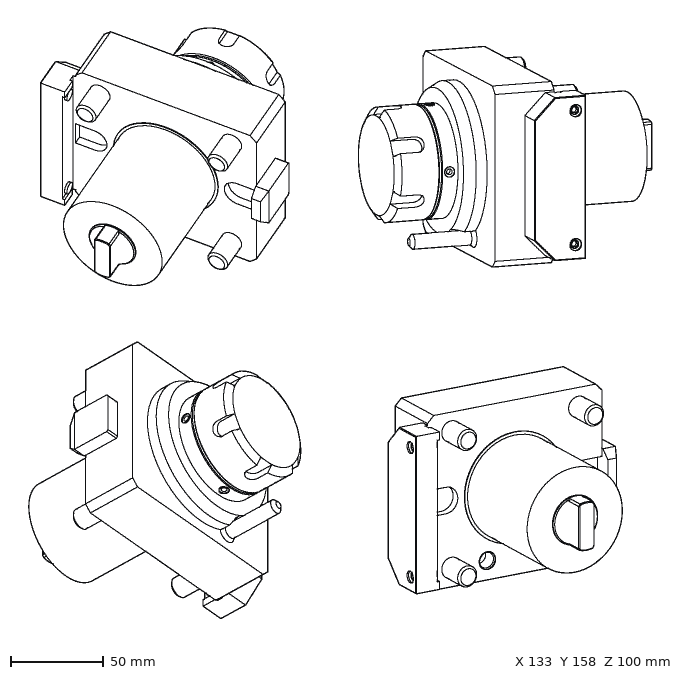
import cadquery as cq
import math


plate_width = 110.0
plate_height = 100.0
plate_depth = 34.1
plate_corner = 4.0
plate_side = plate_width / 2

shank_radius = 30.0
shank_end = -63.4
rim_radius = 31.8
rim_depth = 0.5
boss_radius = 14.0
boss_depth = 1.3
boss_chamfer = 0.6
tang_thickness = 9.8
tang_radius = 13.9
tang_end = -76.0
tang_edge = 0.5
tang_corner = 1.0
tang_root_fillet = 1.0

nose_radius = 43.0
nose_cone_start = 40.5
nose_cone_end = 46.6
nose_cone_radius = 39.8
collar_radius = 31.5
collar_end = 56.0
collar_edge = 0.5
groove_radius = 25.3
nut_start = 57.0
nut_edge = 0.6
nut_end = 82.0
nut_chamfer = 3.0
nut_tip_radius = 27.4

wrench_slot_width = 8.9
wrench_slot_floor = 27.2
short_slot_end = 67.8
long_slot_end = 64.7
short_slot_angles = (-90, -30, 30, 90)
long_slot_angles = (150, 210)

collar_screw_y = 51.4
collar_screw_radius = 2.8
collar_screw_recess = 0.6
collar_socket_radius = 1.6
collar_socket_depth = 3.2

bolt_x = 40.0
bolt_z = 39.0
bolt_radius = 6.0
bolt_length = 18.0
bolt_chamfer = 1.3

hole_x = -17.0
hole_radius = 4.5
hole_depth = 9.5
hole_chamfer = 0.6
pin_x = -21.8
pin_radius = 4.1
pin_end = 71.5
pin_chamfer = 2.0
pin_flare_radius = 5.5
pin_flare_length = 2.4
pin_clearance_radius = 5.0

keyway_depth = 4.9
left_keyway_width = 15.2
left_keyway_tip = 35.9
right_keyway_width = 16.0
right_keyway_tip = 35.4

left_block_outer = -70.0
left_block_height = 90.1
left_block_back = 16.9
left_block_front = -12.8
left_block_corner = 11.9
left_block_edge = 0.5
relief_depth = 1.5
relief_height = 81.0
relief_step = 3.6
block_screw_y = -7.0
block_screw_z = 37.0
block_screw_radius = 3.3
block_screw_recess = 1.9
block_screw_bevel = 1.0
block_socket_size = 3.8
block_socket_depth = 2.4

right_block_outer = 63.0
right_block_height = 25.3
right_block_back = 23.2
right_block_front = -6.2
right_block_bevel = 5.2
right_block_bevel_z = 4.7
right_block_bevel_x = 2.4
right_block_back_chamfer = 1.0


def box(x0, x1, y0, y1, z0, z1):
    """Box between two opposite corners."""
    return cq.Workplane("XY").box(x1 - x0, y1 - y0, z1 - z0, centered=False).translate((x0, y0, z0))


def rod(radius, y0, y1, x=0, z=0):
    """Cylinder along Y from y0 to the higher y1."""
    return cq.Workplane("XZ", origin=(x, y0, z)).circle(radius).extrude(y0 - y1)


def make_plate():
    plate = box(-plate_side, plate_side, 0, plate_depth, -plate_height / 2, plate_height / 2)
    return plate.edges("|Y").chamfer(plate_corner)


def make_turned_body():
    """Shank, nose, collar and nut as one turned profile."""
    profile = [
        (0, shank_end - boss_depth),
        (boss_radius - boss_chamfer, shank_end - boss_depth),
        (boss_radius, shank_end - boss_depth + boss_chamfer),
        (boss_radius, shank_end),
        (shank_radius, shank_end),
        (shank_radius, -rim_depth),
        (rim_radius, -rim_depth),
        (rim_radius, plate_depth / 2),
        (nose_radius, plate_depth / 2),
        (nose_radius, nose_cone_start),
        (nose_cone_radius, nose_cone_end),
        (collar_radius, nose_cone_end),
        (collar_radius, collar_end - collar_edge),
        (collar_radius - collar_edge, collar_end),
        (groove_radius, collar_end),
        (groove_radius, nut_start),
        (collar_radius - nut_edge, nut_start),
        (collar_radius, nut_start + nut_edge),
        (collar_radius, nut_end - nut_chamfer),
        (nut_tip_radius, nut_end),
        (0, nut_end),
    ]
    return cq.Workplane("XY").polyline(profile).close().revolve(360, (0, 0, 0), (0, 1, 0))


def make_tang():
    """Flat drive tang with rounded ends, bevelled corners, a bevelled tip and filleted roots."""
    half = tang_thickness / 2
    blade = box(-half, half, tang_end, shank_end, -tang_radius, tang_radius)
    blade = blade.intersect(rod(tang_radius, tang_end, shank_end))
    blade = blade.edges("|Y").chamfer(tang_corner).faces("<Y").edges().chamfer(tang_edge)

    root_y = shank_end - boss_depth
    arc_offset = tang_root_fillet * (1 - math.sqrt(0.5))
    root = (
        cq.Workplane("XY", origin=(0, 0, -tang_radius))
        .moveTo(0, root_y)
        .lineTo(half + tang_root_fillet, root_y)
        .threePointArc((half + arc_offset, root_y - arc_offset), (half, root_y - tang_root_fillet))
        .lineTo(0, root_y - tang_root_fillet)
        .close()
        .extrude(2 * tang_radius)
    )
    root = root.union(root.mirror("YZ"))
    envelope = rod(boss_radius - boss_chamfer, root_y - tang_root_fillet, root_y)
    return blade.union(root.intersect(envelope))


def make_wrench_slot(angle, slot_end):
    """Slot from the nut tip to a round end at slot_end, placed at an angle from +X towards +Z."""
    half = wrench_slot_width / 2
    arc_y = slot_end + half
    slot = (
        cq.Workplane("XY", origin=(0, 0, wrench_slot_floor))
        .moveTo(-half, nut_end)
        .lineTo(-half, arc_y)
        .threePointArc((0, slot_end), (half, arc_y))
        .lineTo(half, nut_end)
        .close()
        .extrude(collar_radius)
    )
    return slot.rotate((0, 0, 0), (0, 1, 0), 90 - angle)


def make_collar_screw(angle):
    """Shallow recess with a socket at its centre, cut radially into the collar."""
    floor = collar_radius - collar_screw_recess
    recess = (
        cq.Workplane("XY", origin=(0, collar_screw_y, floor))
        .circle(collar_screw_radius)
        .extrude(2 * collar_screw_recess)
    )
    socket = (
        cq.Workplane("XY", origin=(0, collar_screw_y, floor - collar_socket_depth))
        .circle(collar_socket_radius)
        .extrude(collar_socket_depth)
    )
    return recess.union(socket).rotate((0, 0, 0), (0, 1, 0), angle)


def make_bolt(x, z):
    return rod(bolt_radius, -bolt_length, plate_depth / 2, x, z).faces("<Y").chamfer(bolt_chamfer)


def make_coolant_hole():
    hole = rod(hole_radius, 0, hole_depth, hole_x, -bolt_z)
    rim = rod(hole_radius + hole_chamfer, 0, 2 * hole_chamfer, hole_x, -bolt_z)
    return hole.union(rim.faces(">Y").chamfer(hole_chamfer))


def make_pin():
    """Pin with a bevelled tip and a conical flare where it leaves the plate."""
    pin = rod(pin_radius, plate_depth / 2, pin_end).faces(">Y").chamfer(pin_chamfer)
    flare_profile = [
        (0, plate_depth),
        (pin_flare_radius, plate_depth),
        (pin_radius, plate_depth + pin_flare_length),
        (0, plate_depth + pin_flare_length),
    ]
    flare = cq.Workplane("XY").polyline(flare_profile).close().revolve(360, (0, 0, 0), (0, 1, 0))
    return pin.union(flare).translate((pin_x, 0, -bolt_z))


def make_pin_clearance():
    """Notch that keeps the nose flange clear of the pin."""
    return rod(pin_clearance_radius, plate_depth, nose_cone_end, pin_x, -bolt_z)


def make_keyway(side, tip, width):
    """Round-ended keyway in the mounting face, open at one side of the plate (side is -1 or 1)."""
    arc_x = tip + width / 2
    x_range = sorted((side * arc_x, side * plate_side))
    channel = box(*x_range, 0, keyway_depth, -width / 2, width / 2)
    return channel.union(rod(width / 2, 0, keyway_depth, side * arc_x))


def block_screw(radius, length, x, z):
    """Cylinder along +X at one of the block screw positions."""
    return cq.Workplane("YZ", origin=(x, block_screw_y, z)).circle(radius).extrude(length)


def make_left_block():
    top = left_block_height / 2
    relief_face = -plate_side - relief_depth
    block = box(left_block_outer, -plate_side, left_block_front, left_block_back, -top, top)
    block = block.edges(">Y and |X").chamfer(left_block_corner)
    block = block.faces("<X").edges().chamfer(left_block_edge)
    half_relief = relief_height / 2
    block = block.cut(box(relief_face, -plate_side, left_block_front, 0, -half_relief, half_relief))
    block = block.cut(box(relief_face, -plate_side, -relief_step, 0, -top, top))
    for z in (-block_screw_z, block_screw_z):
        recess_floor = left_block_outer + block_screw_recess
        socket = (
            cq.Workplane("YZ", origin=(recess_floor, block_screw_y, z))
            .polygon(6, block_socket_size)
            .extrude(block_socket_depth)
        )
        recess = block_screw(block_screw_radius, block_screw_recess, left_block_outer, z)
        block = block.cut(recess.faces(">X").chamfer(block_screw_bevel))
        block = block.cut(socket)
        block = block.union(block_screw(block_screw_radius, relief_depth, relief_face, z))
    return block


def make_right_block():
    """Stop block bevelled towards the front on its top, bottom and outer side."""
    top = right_block_height / 2
    bevel_y = right_block_front + right_block_bevel
    side_profile = [
        (right_block_front, right_block_bevel_z - top),
        (bevel_y, -top),
        (right_block_back - right_block_back_chamfer, -top),
        (right_block_back, right_block_back_chamfer - top),
        (right_block_back, top - right_block_back_chamfer),
        (right_block_back - right_block_back_chamfer, top),
        (bevel_y, top),
        (right_block_front, top - right_block_bevel_z),
    ]
    plan_profile = [
        (plate_side, right_block_front),
        (right_block_outer - right_block_bevel_x, right_block_front),
        (right_block_outer, bevel_y),
        (right_block_outer, right_block_back),
        (plate_side, right_block_back),
    ]
    side = cq.Workplane("YZ").polyline(side_profile).close().extrude(right_block_outer)
    plan = cq.Workplane("XY").polyline(plan_profile).close().extrude(top, both=True)
    return side.intersect(plan)


body = make_plate()
body = body.cut(make_keyway(-1, left_keyway_tip, left_keyway_width))
body = body.cut(make_keyway(1, right_keyway_tip, right_keyway_width))
body = body.cut(make_coolant_hole())
body = body.union(make_turned_body().cut(make_pin_clearance())).union(make_tang())

for slot_angle in short_slot_angles:
    body = body.cut(make_wrench_slot(slot_angle, short_slot_end))

for slot_angle in long_slot_angles:
    body = body.cut(make_wrench_slot(slot_angle, long_slot_end))

for screw_angle in range(0, 360, 90):
    body = body.cut(make_collar_screw(screw_angle))

for bolt_side in (-bolt_x, bolt_x):
    for bolt_level in (-bolt_z, bolt_z):
        body = body.union(make_bolt(bolt_side, bolt_level))

result = body.union(make_pin()).union(make_left_block()).union(make_right_block())